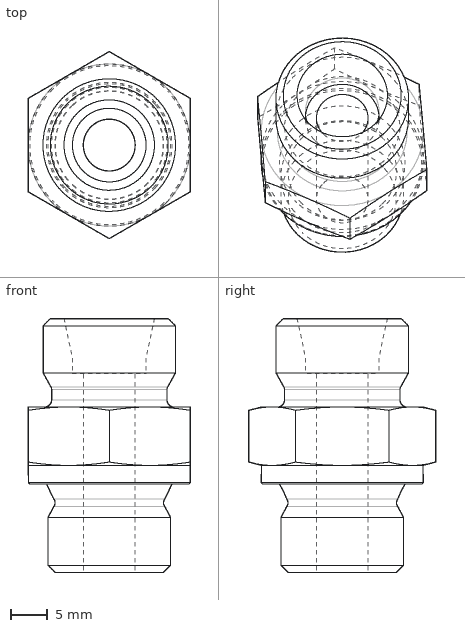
import cadquery as cq
import math

total_height = 34.5
across_flats = 22.0
across_corners = across_flats / math.cos(math.pi / 6)

stud_radius = 16.65 / 2
stud_chamfer = 1.0
stud_top = 7.52
stud_groove_radius = 7.4
stud_groove_edge_radius = 7.55
stud_groove_bottom = 8.97
stud_groove_top = 10.0
shoulder_cone_radius = 8.52

collar_radius = across_flats / 2
collar_bottom = 12.0
collar_edge_chamfer = 0.2
hex_bottom = 14.55
hex_top = 22.5
hex_chamfer_angle = 15.0

neck_radius = 15.7 / 2
neck_fillet = 0.95
neck_top = 24.85
neck_lip_radius = 7.95
neck_lip_top = 25.2
thread_radius = 18.0 / 2
thread_bottom = 27.1
thread_chamfer = 1.0

bore_diameter = 7.0
socket_radius = 10.0 / 2
socket_depth = 7.5
mouth_radius = 6.15
cone_half_angle = 12.0
cone_depth = (mouth_radius - socket_radius) / math.tan(math.radians(cone_half_angle))


def make_turned_body():
    """Revolve the outer profile of both threaded ends and the collar."""
    fillet_mid = neck_fillet * (1 - math.sqrt(0.5))
    return (
        cq.Workplane("XZ")
        .moveTo(0, 0)
        .lineTo(stud_radius - stud_chamfer, 0)
        .lineTo(stud_radius, stud_chamfer)
        .lineTo(stud_radius, stud_top)
        .lineTo(stud_groove_edge_radius, stud_groove_bottom)
        .threePointArc(
            (stud_groove_radius, (stud_groove_bottom + stud_groove_top) / 2),
            (stud_groove_edge_radius, stud_groove_top),
        )
        .lineTo(shoulder_cone_radius, collar_bottom)
        .lineTo(collar_radius - collar_edge_chamfer, collar_bottom)
        .lineTo(collar_radius, collar_bottom + collar_edge_chamfer)
        .lineTo(collar_radius, hex_top)
        .lineTo(neck_radius + neck_fillet, hex_top)
        .threePointArc(
            (neck_radius + fillet_mid, hex_top + fillet_mid),
            (neck_radius, hex_top + neck_fillet),
        )
        .lineTo(neck_radius, neck_top)
        .tangentArcPoint((neck_lip_radius, neck_lip_top), relative=False)
        .lineTo(thread_radius, thread_bottom)
        .lineTo(thread_radius, total_height - thread_chamfer)
        .lineTo(thread_radius - thread_chamfer, total_height)
        .lineTo(0, total_height)
        .close()
        .revolve(360, (0, 0, 0), (0, 1, 0))
    )


def make_hexagon():
    """Hexagon with flats facing +X and -X and corners chamfered at both ends."""
    prism = (
        cq.Workplane("XY")
        .workplane(offset=hex_bottom)
        .polygon(6, across_corners)
        .extrude(hex_top - hex_bottom)
        .rotate((0, 0, 0), (0, 0, 1), 30)
    )
    corner_radius = across_corners / 2
    chamfer_drop = (corner_radius - collar_radius) * math.tan(math.radians(hex_chamfer_angle))
    envelope = (
        cq.Workplane("XZ")
        .moveTo(0, hex_bottom)
        .lineTo(collar_radius, hex_bottom)
        .lineTo(corner_radius, hex_bottom + chamfer_drop)
        .lineTo(corner_radius, hex_top - chamfer_drop)
        .lineTo(collar_radius, hex_top)
        .lineTo(0, hex_top)
        .close()
        .revolve(360, (0, 0, 0), (0, 1, 0))
    )
    return prism.intersect(envelope)


def make_bore():
    """Through bore opening into a tube socket with a tapered mouth at the top."""
    socket_bottom = total_height - socket_depth
    return (
        cq.Workplane("XZ")
        .moveTo(0, 0)
        .lineTo(bore_diameter / 2, 0)
        .lineTo(bore_diameter / 2, socket_bottom)
        .lineTo(socket_radius, socket_bottom)
        .lineTo(socket_radius, total_height - cone_depth)
        .lineTo(mouth_radius, total_height)
        .lineTo(0, total_height)
        .close()
        .revolve(360, (0, 0, 0), (0, 1, 0))
    )


result = make_turned_body().union(make_hexagon()).cut(make_bore())